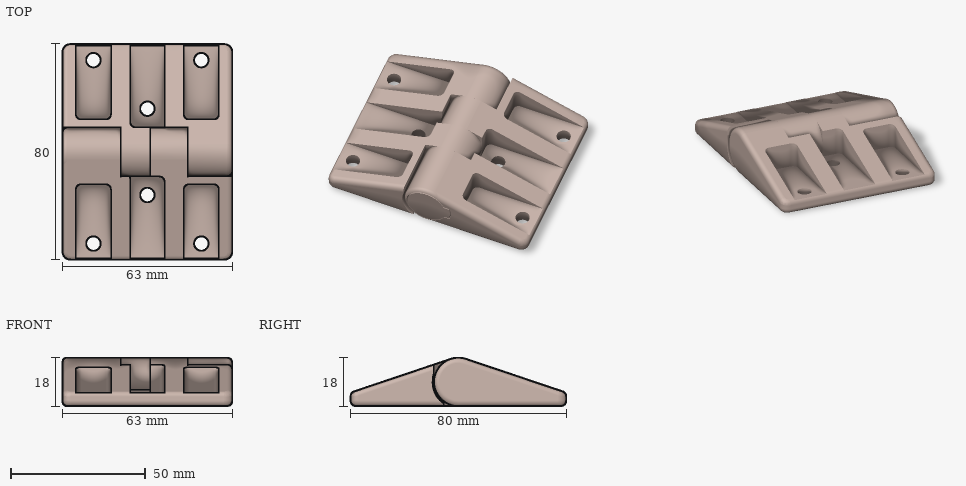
import cadquery as cq
import math

WIDTH = 63.0
LEAF_REACH = 40.0
HEIGHT = 18.0
LIP_HEIGHT = 5.0
HALF_WIDTH = WIDTH / 2
KNUCKLE_RADIUS = HEIGHT / 2
AXIS_HEIGHT = KNUCKLE_RADIUS

EDGE_FILLET = 2.0
FRONT_BARREL_FILLET = 1.7
CORNER_FILLET = 3.0

JOINTS = [-9.9, 1.0, 15.0]
KNUCKLE_ENDS = [-HALF_WIDTH, *JOINTS, HALF_WIDTH]
KNUCKLE_SPANS = list(zip(KNUCKLE_ENDS, KNUCKLE_ENDS[1:]))
FRONT_SPANS = KNUCKLE_SPANS[0::2]
BACK_SPANS = KNUCKLE_SPANS[1::2]

RELIEF_RADIUS = 9.6
RELIEF_REACH = 9.1
RELIEF_FOOT = 5.4
RELIEF_FOOT_TOP = AXIS_HEIGHT / 2

SIDE_POCKET_X = 20.0
SIDE_POCKET_WIDTH = 13.0
SIDE_POCKET_START = 12.0
MIDDLE_POCKET_WIDTH = 12.8
POCKET_FILLET = 2.0
SCREW_HOLE_DIAMETER = 5.3
SIDE_HOLE_Y = 34.0
MIDDLE_HOLE_Y = 16.0

HEAD_RADIUS = 7.5
HEAD_THICKNESS = 2.0
KEY_RADIUS = 9.6
KEY_HALF_HEIGHT = 2.8
HEAD_GAP = 0.3
SHAFT_RADIUS = 4.0
SHAFT_END_WALL = 4.0


def box(x_range, y_range, z_range):
    """Box between two limits along each axis."""
    limits = (x_range, y_range, z_range)
    size = [high - low for low, high in limits]
    return cq.Workplane().box(*size, centered=False).translate([low for low, high in limits])


def axis_cylinder(radius, x_start, x_end):
    """Cylinder around the hinge axis."""
    return (
        cq.Workplane("YZ", origin=(x_start, 0, AXIS_HEIGHT))
        .circle(radius)
        .extrude(x_end - x_start)
    )


def wedge(side):
    """Full-width wedge tangent to the knuckle, rounded on its outer edges; side is -1 or +1 in Y."""
    drop = AXIS_HEIGHT - LIP_HEIGHT
    lip_distance = math.hypot(LEAF_REACH, drop)
    slope = math.asin(KNUCKLE_RADIUS / lip_distance) + math.atan2(drop, LEAF_REACH)
    tangent_y = KNUCKLE_RADIUS * math.sin(slope)
    tangent_z = AXIS_HEIGHT + KNUCKLE_RADIUS * math.cos(slope)
    blank = (
        cq.Workplane("YZ", origin=(-HALF_WIDTH, 0, 0))
        .moveTo(0, 0)
        .lineTo(side * LEAF_REACH, 0)
        .lineTo(side * LEAF_REACH, LIP_HEIGHT)
        .lineTo(side * tangent_y, tangent_z)
        .lineTo(0, AXIS_HEIGHT)
        .close()
        .extrude(WIDTH)
    )
    free_edge = ">Y" if side > 0 else "<Y"
    blank = blank.faces(free_edge).edges("|Z").fillet(CORNER_FILLET)
    return blank.faces(free_edge).edges("|X").fillet(EDGE_FILLET)


def barrel(end_fillet):
    """Full-width round barrel from which a leaf's knuckles are left standing."""
    return axis_cylinder(KNUCKLE_RADIUS, -HALF_WIDTH, HALF_WIDTH).edges().fillet(end_fillet)


def knuckle_relief(side, span):
    """Room for a knuckle of the other leaf."""
    far = -side * RELIEF_RADIUS
    relief = axis_cylinder(RELIEF_RADIUS, *span)
    upper = box(span, sorted((side * RELIEF_REACH, far)), (AXIS_HEIGHT, 2 * RELIEF_RADIUS))
    foot = box(span, sorted((side * RELIEF_FOOT, far)), (0, RELIEF_FOOT_TOP))
    return relief.union(upper).union(foot)


def pocket(side, x, width, start, rounded_corners):
    """Flat-floored pocket that runs out through the free edge, with chosen upright corners rounded."""
    inner_end = "<Y" if side > 0 else ">Y"
    y_range = sorted((side * start, side * (LEAF_REACH + EDGE_FILLET)))
    blank = box((x - width / 2, x + width / 2), y_range, (LIP_HEIGHT, HEIGHT))
    return blank.faces(inner_end).edges(rounded_corners).fillet(POCKET_FILLET)


def screw_holes(side):
    """Three upright drills: one in each side pocket and one in the middle pocket."""
    places = [(x, side * SIDE_HOLE_Y) for x in (-SIDE_POCKET_X, SIDE_POCKET_X)]
    places.append((0, side * MIDDLE_HOLE_Y))
    return cq.Workplane().pushPoints(places).circle(SCREW_HOLE_DIAMETER / 2).extrude(HEIGHT)


def keyed_head(gap):
    """Pin head with a key pointing to -Y, enlarged all round by a gap."""
    head_end = -HALF_WIDTH + HEAD_THICKNESS
    key_half_height = KEY_HALF_HEIGHT + gap
    key = axis_cylinder(KEY_RADIUS + gap, -HALF_WIDTH, head_end).intersect(
        box(
            (-HALF_WIDTH, head_end),
            (-KEY_RADIUS - gap, 0),
            (AXIS_HEIGHT - key_half_height, AXIS_HEIGHT + key_half_height),
        )
    )
    return axis_cylinder(HEAD_RADIUS + gap, -HALF_WIDTH, head_end).union(key)


def pin_shaft():
    """Round shaft that stops short of the +X end."""
    return axis_cylinder(SHAFT_RADIUS, -HALF_WIDTH, HALF_WIDTH - SHAFT_END_WALL)


def leaf(side, other_spans, barrel_fillet):
    """Hinge leaf with pockets, screw holes, shaft bore and room for the other leaf's knuckles."""
    body = wedge(side).union(barrel(barrel_fillet))
    for span in other_spans:
        body = body.cut(knuckle_relief(side, span))
    for x in (-SIDE_POCKET_X, SIDE_POCKET_X):
        body = body.cut(pocket(side, x, SIDE_POCKET_WIDTH, SIDE_POCKET_START, "|Z"))
    own_knuckle_corner = "<X" if side > 0 else ">X"
    body = body.cut(pocket(side, 0, MIDDLE_POCKET_WIDTH, RELIEF_REACH, own_knuckle_corner))
    return body.cut(screw_holes(side)).cut(pin_shaft())


front_leaf = leaf(-1, BACK_SPANS, FRONT_BARREL_FILLET).cut(keyed_head(HEAD_GAP))
back_leaf = leaf(1, FRONT_SPANS, EDGE_FILLET)
pin = keyed_head(0).union(pin_shaft())

result = cq.Compound.makeCompound([front_leaf.val(), back_leaf.val(), pin.val()])